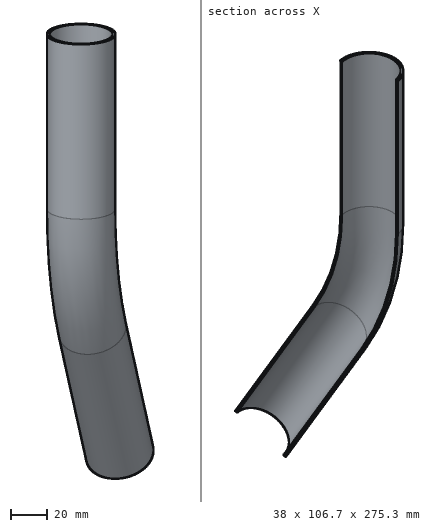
import cadquery as cq
import math

overall_height = 275.3
outer_diameter = 38.0
inner_diameter = 35.0
bend_radius = 152.5
bend_angle = 30.0

outer_radius = outer_diameter / 2
sine = math.sin(math.radians(bend_angle))
cosine = math.cos(math.radians(bend_angle))

leg_length = (overall_height - (bend_radius + outer_radius) * sine) / (1 + cosine)


def bend_point(angle):
    """Centreline point (y, z) on the bend, at an angle in degrees from its upper end."""
    turn = math.radians(angle)
    return bend_radius * (1 - math.cos(turn)), -bend_radius * math.sin(turn)


bend_end_y, bend_end_z = bend_point(bend_angle)
lower_end = (bend_end_y + leg_length * sine, bend_end_z - leg_length * cosine)
centreline = (
    cq.Workplane("YZ")
    .moveTo(0, leg_length)
    .lineTo(0, 0)
    .threePointArc(bend_point(bend_angle / 2), (bend_end_y, bend_end_z))
    .lineTo(*lower_end)
)

result = (
    cq.Workplane("XY")
    .workplane(offset=leg_length)
    .circle(outer_radius)
    .circle(inner_diameter / 2)
    .sweep(centreline)
)